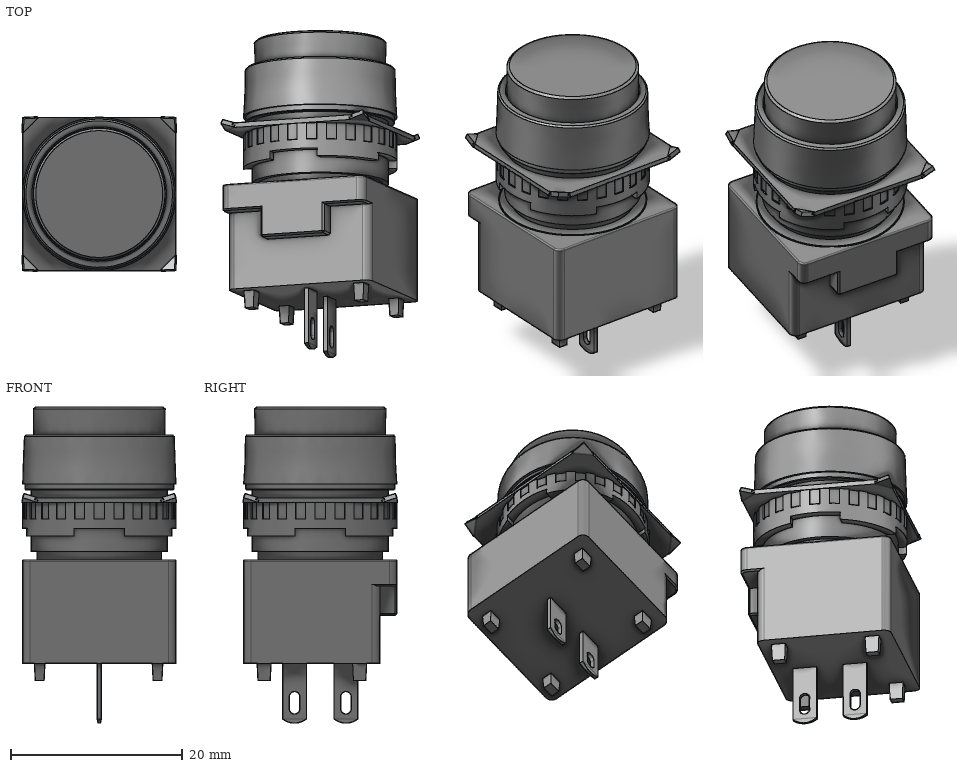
import cadquery as cq
import math


cap_top_z = 9.67
cap_radius = 7.7
cap_base_radius = 7.65
cap_edge_width = 0.3
cap_edge_height = 0.25
bezel_top_z = 6.4
bezel_bottom_z = 0.7
bezel_top_radius = 8.75
bezel_bottom_radius = 8.95
bezel_edge = 0.2
bezel_hole_radius = 7.85
bezel_gap_depth = 1.0
bezel_foot_radius = 8.7
bezel_foot_edge = 0.1
sleeve_radius = 7.95
sleeve_end_z = -7.2
neck_radius = 7.28
block_top_z = -8.17

body_width = 17.9
washer_top_z = -0.95
washer_thickness = 0.55
corner_leg = 1.8
corner_angle = 26

nut_radius = 8.97
nut_height = 3.9
nut_top_z = washer_top_z - washer_thickness
nut_bottom_z = nut_top_z - nut_height
notch_count = 24
notch_width = 1.2
notch_height = 1.9
notch_depth = 0.17
spanner_slot_count = 4
spanner_slot_width = 5.9
spanner_slot_height = 0.9

block_height = 12.08
block_bottom_z = block_top_z - block_height
block_corner_radius = 0.9
block_top_fillet = 0.18
groove_outer_radius = 8.65
groove_width = 0.1
groove_depth = 0.1
step_height = 3.08
step_depth = 2.0
step_edge_chamfer = 0.2
tab_width = 8.0
tab_height = 3.4
tab_chamfer = 0.22

foot_height = 2.0
foot_size_x = 1.25
foot_size_y = 1.65
foot_draft = 0.1
foot_x_centers = (-6.95, 6.8)
foot_y_centers = (-6.55, 4.6)

terminal_pitch = 6.0
terminal_width = 2.8
terminal_thickness = 0.5
terminal_length = 6.98
terminal_tip_height = 0.5
terminal_tip_chamfer = 0.1
terminal_hole_width = 1.2
terminal_hole_length = 2.6
terminal_hole_center = 4.6


def cylinder(radius, low_z, high_z):
    return cq.Workplane("XY").workplane(offset=low_z).circle(radius).extrude(high_z - low_z)


def box(size_x, size_y, low_z, high_z):
    return cq.Workplane("XY").workplane(offset=low_z).rect(size_x, size_y).extrude(high_z - low_z)


def make_operator():
    """Turned body: button cap, bezel, sleeve and neck, with a narrow gap around the cap."""
    half_profile = [
        (0, cap_top_z),
        (cap_radius - cap_edge_width, cap_top_z),
        (cap_radius, cap_top_z - cap_edge_height),
        (cap_base_radius, bezel_top_z - bezel_gap_depth),
        (bezel_hole_radius, bezel_top_z - bezel_gap_depth),
        (bezel_hole_radius, bezel_top_z),
        (bezel_top_radius - bezel_edge, bezel_top_z),
        (bezel_top_radius, bezel_top_z - bezel_edge),
        (bezel_bottom_radius, bezel_bottom_z),
        (bezel_foot_radius, bezel_bottom_z),
        (bezel_foot_radius, bezel_foot_edge),
        (bezel_foot_radius - bezel_foot_edge, 0),
        (sleeve_radius, 0),
        (sleeve_radius, sleeve_end_z),
        (neck_radius, sleeve_end_z),
        (neck_radius, block_top_z),
        (0, block_top_z),
    ]
    return cq.Workplane("XZ").polyline(half_profile).close().revolve(360, (0, 0), (0, 1))


def make_bent_corner():
    """Corner flap at +X +Y, folded up about the middle of the plate's thickness."""
    fold_to_tip = corner_leg / math.sqrt(2)
    bend_distance = body_width / math.sqrt(2) - fold_to_tip
    bend_radius = washer_thickness / 2
    flap = (
        cq.Workplane("XY")
        .moveTo(0, -fold_to_tip)
        .lineTo(fold_to_tip, 0)
        .lineTo(0, fold_to_tip)
        .close()
        .extrude(washer_thickness)
        .translate((0, 0, -bend_radius))
        .rotate((0, 0, 0), (0, 1, 0), -corner_angle)
    )
    bend = (
        cq.Workplane("XZ")
        .circle(bend_radius)
        .extrude(fold_to_tip, both=True)
    )

    def place(shape):
        shape = shape.translate((bend_distance, 0, washer_top_z - bend_radius))
        return shape.rotate((0, 0, 0), (0, 0, 1), 45)

    bend = place(bend).intersect(box(body_width, body_width, nut_top_z, washer_top_z))
    return place(flap).union(bend)


def make_washer():
    plate = box(body_width, body_width, nut_top_z, washer_top_z).edges("|Z").chamfer(corner_leg)
    corner = make_bent_corner()
    for index in range(4):
        plate = plate.union(corner.rotate((0, 0, 0), (0, 0, 1), 90 * index))
    return plate.cut(cylinder(sleeve_radius, nut_top_z, washer_top_z))


def make_nut():
    """Ring nut with grip notches under the washer and spanner slots in its lower edge."""
    nut = cylinder(nut_radius, nut_bottom_z, nut_top_z)
    notch = box(2 * notch_depth, notch_width, nut_top_z - notch_height, nut_top_z)
    notch = notch.translate((nut_radius, 0, 0))
    for index in range(notch_count):
        nut = nut.cut(notch.rotate((0, 0, 0), (0, 0, 1), index * 360 / notch_count))
    slot = box(nut_radius, spanner_slot_width, nut_bottom_z, nut_bottom_z + spanner_slot_height)
    slot = slot.translate((nut_radius, 0, 0))
    for index in range(spanner_slot_count):
        nut = nut.cut(slot.rotate((0, 0, 0), (0, 0, 1), index * 360 / spanner_slot_count))
    return nut.cut(cylinder(sleeve_radius, nut_bottom_z, nut_top_z))


def make_foot(x, y):
    return (
        cq.Workplane("XY", origin=(x, y, block_bottom_z))
        .rect(foot_size_x, foot_size_y)
        .workplane(offset=-foot_height)
        .rect(foot_size_x - 2 * foot_draft, foot_size_y - 2 * foot_draft)
        .loft(combine=True)
    )


def make_terminal(y):
    """Solder tab with a rounded, thinned tip and a slotted hole."""
    half_width = terminal_width / 2
    half_thickness = terminal_thickness / 2
    tip_half_thickness = half_thickness - terminal_tip_chamfer
    shoulder_z = terminal_tip_height - terminal_length
    outline = (
        cq.Workplane("YZ")
        .moveTo(-half_width, 0)
        .lineTo(-half_width, shoulder_z)
        .threePointArc((0, -terminal_length), (half_width, shoulder_z))
        .lineTo(half_width, 0)
        .close()
        .extrude(half_thickness, both=True)
    )
    edge_profile = (
        cq.Workplane("XZ")
        .polyline([
            (-half_thickness, 0),
            (-half_thickness, shoulder_z),
            (-tip_half_thickness, -terminal_length),
            (tip_half_thickness, -terminal_length),
            (half_thickness, shoulder_z),
            (half_thickness, 0),
        ])
        .close()
        .extrude(half_width, both=True)
    )
    hole = (
        cq.Workplane("YZ")
        .center(0, -terminal_hole_center)
        .slot2D(terminal_hole_length, terminal_hole_width, 90)
        .extrude(terminal_thickness, both=True)
    )
    return outline.intersect(edge_profile).cut(hole).translate((0, y, block_bottom_z))


def make_face_groove():
    """Narrow ring groove in the top face, around the neck."""
    groove_z = block_top_z - groove_depth
    island = cylinder(groove_outer_radius - groove_width, groove_z, block_top_z)
    return cylinder(groove_outer_radius, groove_z, block_top_z).cut(island)


def make_block():
    """Block stepped back on its +Y side, with a tab under the step, feet and terminals in one body."""
    step_z = block_top_z - step_height
    lower_top_z = step_z + 2 * step_edge_chamfer
    lower_depth = body_width - step_depth
    head = (
        box(body_width, body_width, step_z, block_top_z)
        .edges("|Z").fillet(block_corner_radius)
        .faces(">Z").edges().fillet(block_top_fillet)
        .faces("<Z").edges().chamfer(step_edge_chamfer)
    )
    lower = (
        box(body_width, lower_depth, block_bottom_z, lower_top_z)
        .edges("|Z").fillet(block_corner_radius)
        .translate((0, -step_depth / 2, 0))
    )
    tab = (
        box(tab_width, 2 * step_depth, step_z - tab_height, step_z + step_edge_chamfer)
        .edges("(>Y and |Z) or <Z").chamfer(tab_chamfer)
        .translate((0, body_width / 2 - step_depth, 0))
    )
    block = head.union(lower).union(tab)
    block = block.cut(make_face_groove())
    for x in foot_x_centers:
        for y in foot_y_centers:
            block = block.union(make_foot(x, y))
    for y in (-terminal_pitch / 2, terminal_pitch / 2):
        block = block.union(make_terminal(y))
    return block


operator = make_operator()
washer = make_washer()
nut = make_nut()
block = make_block()

result = cq.Compound.makeCompound([operator.val(), washer.val(), nut.val(), block.val()])